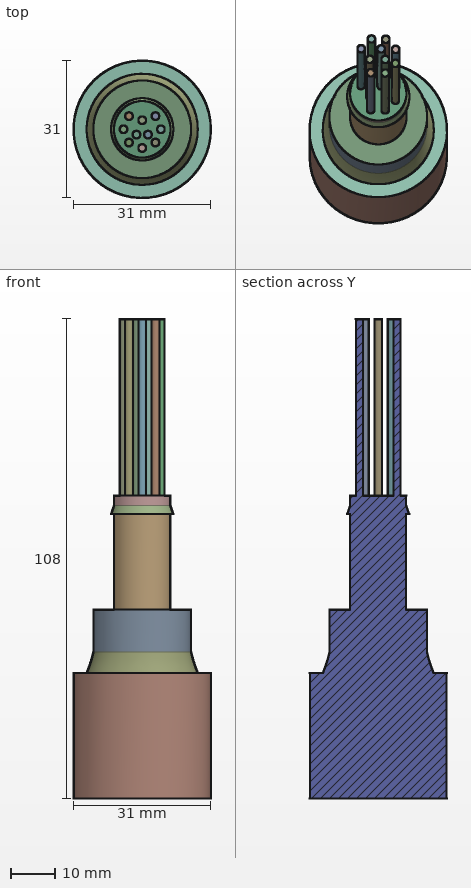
import cadquery as cq
import math

base_diameter = 31.0
base_top = 28.3
flare_bottom_diameter = 25.1
flare_sag = 0.1
collar_diameter = 22.0
collar_bottom = 33.0
collar_top = 42.5

sheath_diameter = 12.7
sheath_top = 68.3
ring_diameter = 14.0
ring_bottom = 64.0
ring_top = 66.0

wire_diameter = 1.7
wire_top = 108.0
wire_circle_radius = 4.2
wire_circle_slots = 8
empty_slot = 2
inner_single_y = 2.0
inner_pair_x = 1.3
inner_pair_y = -1.2


def make_body():
    """Turned shape of the base, flare, collar and sheath about the Z axis."""
    base_radius = base_diameter / 2
    flare_radius = flare_bottom_diameter / 2
    collar_radius = collar_diameter / 2
    sheath_radius = sheath_diameter / 2
    flare_middle_radius = (flare_radius + collar_radius) / 2 - flare_sag
    flare_middle_height = (base_top + collar_bottom) / 2
    return (
        cq.Workplane("XZ")
        .moveTo(0, 0)
        .lineTo(base_radius, 0)
        .lineTo(base_radius, base_top)
        .lineTo(flare_radius, base_top)
        .threePointArc((flare_middle_radius, flare_middle_height), (collar_radius, collar_bottom))
        .lineTo(collar_radius, collar_top)
        .lineTo(sheath_radius, collar_top)
        .lineTo(sheath_radius, ring_bottom)
        .lineTo(ring_diameter / 2, ring_bottom)
        .lineTo(sheath_radius, ring_top)
        .lineTo(sheath_radius, sheath_top)
        .lineTo(0, sheath_top)
        .close()
        .revolve(360, (0, 0, 0), (0, 1, 0))
    )


def wire_positions():
    """Centres of the outer circle of wires and of the three inner wires."""
    positions = [(0, inner_single_y), (inner_pair_x, inner_pair_y), (-inner_pair_x, inner_pair_y)]
    for slot in range(wire_circle_slots):
        if slot == empty_slot:
            continue
        angle = 2 * math.pi * slot / wire_circle_slots
        positions.append((wire_circle_radius * math.cos(angle), wire_circle_radius * math.sin(angle)))
    return positions


def make_wires():
    """Round wires rising from the end face of the sheath."""
    return (
        cq.Workplane("XY", origin=(0, 0, sheath_top))
        .pushPoints(wire_positions())
        .circle(wire_diameter / 2)
        .extrude(wire_top - sheath_top)
    )


result = make_body().union(make_wires())